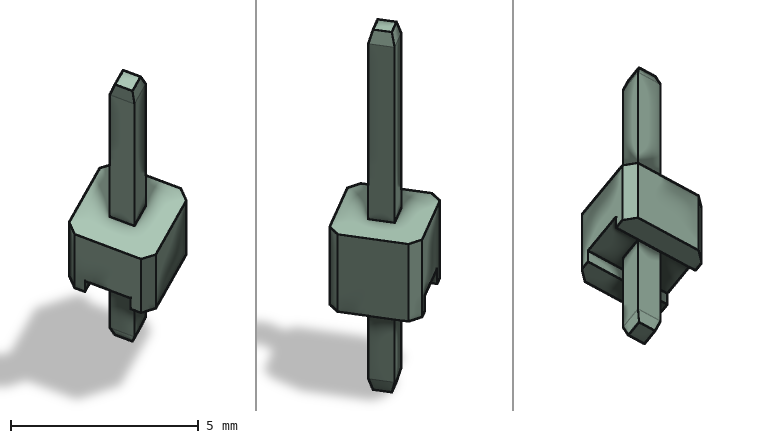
import cadquery as cq

total_length = 11.5

block_width = 2.54
block_height = 2.47
corner_chamfer = 0.3
slot_width = 1.35
slot_depth = 0.5

pin_width = 0.72
pin_above_block = 6.0
tip_width = 0.52
tip_length = 0.4

pin_top = block_height + pin_above_block
pin_bottom = pin_top - total_length


def make_block():
    """Block with chamfered upright edges and a slot along Y in its underside."""
    block = (
        cq.Workplane("XY")
        .rect(block_width, block_width)
        .extrude(block_height)
        .edges("|Z")
        .chamfer(corner_chamfer)
    )
    slot = cq.Workplane("XY").rect(slot_width, block_width).extrude(slot_depth)
    return block.cut(slot)


def make_tip(base_height, tip_height):
    """Square taper from the pin section to the smaller end face."""
    return (
        cq.Workplane("XY", origin=(0, 0, base_height))
        .rect(pin_width, pin_width)
        .workplane(offset=tip_height - base_height)
        .rect(tip_width, tip_width)
        .loft(ruled=True)
    )


def make_pin():
    """Square pin tapered at both ends."""
    shank_top = pin_top - tip_length
    shank_bottom = pin_bottom + tip_length
    shank = (
        cq.Workplane("XY", origin=(0, 0, shank_bottom))
        .rect(pin_width, pin_width)
        .extrude(shank_top - shank_bottom)
    )
    return shank.union(make_tip(shank_top, pin_top)).union(make_tip(shank_bottom, pin_bottom))


result = make_block().union(make_pin())